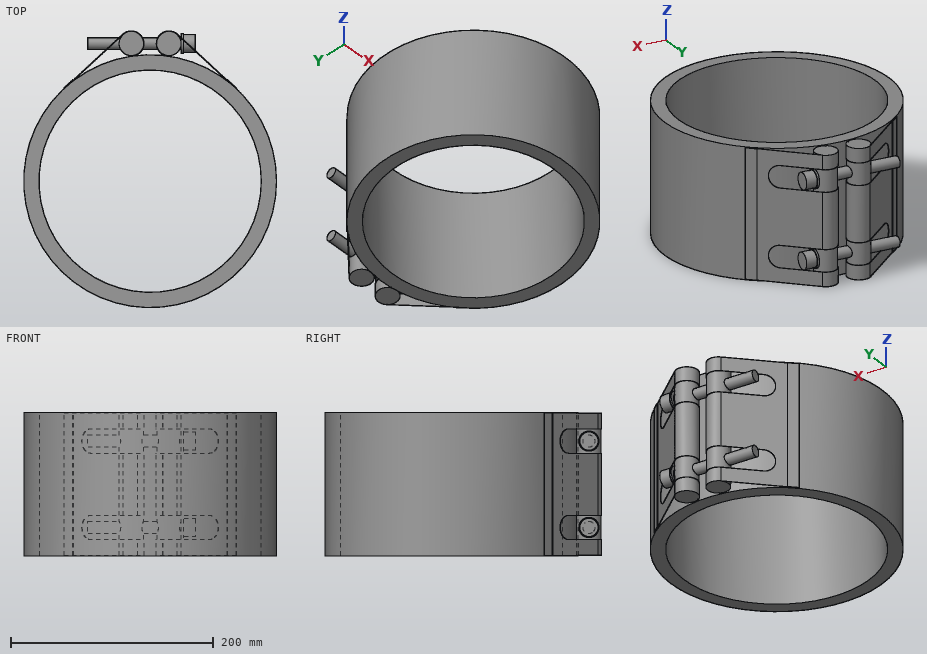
import cadquery as cq
import math

ring_radius = 249.7 / 2
bore_diameter = 219.0
ring_height = 142.0
overall_depth = 273.2

strap_height = 140.5
strap_thickness = 0.5
pin_radius = 24.0 / 2
pin_x = 18.5
loop_radius = pin_radius + strap_thickness
pin_y = overall_depth - ring_radius - loop_radius
loop_end_angle = math.radians(-60)
lap_end_y = 99.7

bolt_z = 42.5
bolt_diameter = 12.0
bolt_start_x = -61.7
washer_diameter = 20.0
washer_start_x = pin_x + pin_radius
washer_thickness = 2.2
head_diameter = 18.0
head_end_x = 44.5

slot_width = 24.0
slot_end_y = 107.5
slot_depth = 5.5

pin_distance = math.hypot(pin_x, pin_y)
pin_direction = math.atan2(pin_y, -pin_x)
tangent_angle = pin_direction + math.acos((ring_radius - loop_radius) / pin_distance)
outward = cq.Vector(math.cos(tangent_angle), math.sin(tangent_angle), 0)
along = cq.Vector(outward.y, -outward.x, 0)
pin_center = cq.Vector(-pin_x, pin_y, 0)
ring_tangent = outward * ring_radius
strap_length = (pin_center - ring_tangent).dot(along)


def point_on_tangent(y):
    """Point at the given Y on the outer face of the straight strap."""
    return ring_tangent + along * ((y - ring_tangent.y) / along.y)


def vertical_cylinder(diameter, height):
    return cq.Workplane("XY").workplane(offset=-height / 2).circle(diameter / 2).extrude(height)


def strap_slab(length, inner_offset):
    """Flat strip starting at the ring tangent, offset outward from the tangent plane."""
    plane = cq.Plane(origin=ring_tangent, xDir=along, normal=(0, 0, 1))
    slab = cq.Workplane(plane).rect(length, strap_thickness, centered=False)
    return slab.extrude(strap_height / 2, both=True).translate(outward * inner_offset)


def loop_point(radius, angle):
    point = pin_center + cq.Vector(math.cos(angle), math.sin(angle), 0) * radius
    return point.toTuple()[:2]


def pin_loop():
    """Strap wrapped over the pin from the tangent point to its underside."""
    middle_angle = (tangent_angle + loop_end_angle) / 2
    return (
        cq.Workplane("XY")
        .moveTo(*loop_point(loop_radius, tangent_angle))
        .threePointArc(loop_point(loop_radius, middle_angle), loop_point(loop_radius, loop_end_angle))
        .lineTo(*loop_point(pin_radius, loop_end_angle))
        .threePointArc(loop_point(pin_radius, middle_angle), loop_point(pin_radius, tangent_angle))
        .close()
        .extrude(strap_height / 2, both=True)
    )


def bolt_slot(z):
    """Round-ended slot in the straight strap, carried on through the loop."""
    slot_end = point_on_tangent(slot_end_y)
    end_center = slot_end + along * (slot_width / 2) + cq.Vector(0, 0, z)
    straight_length = (pin_center - end_center).dot(along)
    plane = cq.Plane(origin=end_center, xDir=along, normal=outward)
    round_end = cq.Workplane(plane).circle(slot_width / 2).extrude(slot_depth / 2, both=True)
    straight = cq.Workplane(plane).center(straight_length / 2, 0)
    straight = straight.rect(straight_length, slot_width).extrude(slot_depth / 2, both=True)
    loop_size = 2 * loop_radius
    loop_gap = cq.Workplane("XY").box(loop_size, loop_size, slot_width)
    loop_gap = loop_gap.translate(pin_center + cq.Vector(0, 0, z))
    return round_end.union(straight).union(loop_gap)


def strap_end():
    """Left strap end with its lap strip, loop, slots and pin."""
    lap_length = (point_on_tangent(lap_end_y) - ring_tangent).Length
    strap = strap_slab(strap_length, -strap_thickness)
    strap = strap.union(strap_slab(lap_length, 0)).union(pin_loop())
    for z in (-bolt_z, bolt_z):
        strap = strap.cut(bolt_slot(z))
    pin = vertical_cylinder(2 * pin_radius, strap_height).translate(pin_center)
    return strap.union(pin)


def rod(diameter, start_x, end_x, z):
    """Cylinder parallel to X at the height of a bolt."""
    plane = cq.Plane(origin=(start_x, pin_y, z), xDir=(0, 1, 0), normal=(1, 0, 0))
    return cq.Workplane(plane).circle(diameter / 2).extrude(end_x - start_x)


def bolt(z):
    washer_end_x = washer_start_x + washer_thickness
    shank = rod(bolt_diameter, bolt_start_x, washer_end_x, z)
    washer = rod(washer_diameter, washer_start_x, washer_end_x, z)
    head = rod(head_diameter, washer_end_x, head_end_x, z)
    return shank.union(washer).union(head)


ring = vertical_cylinder(2 * ring_radius, ring_height)
ring = ring.cut(vertical_cylinder(bore_diameter, ring_height))
left_end = strap_end()
result = ring.union(left_end).union(left_end.mirror("YZ"))
for z in (-bolt_z, bolt_z):
    result = result.union(bolt(z))